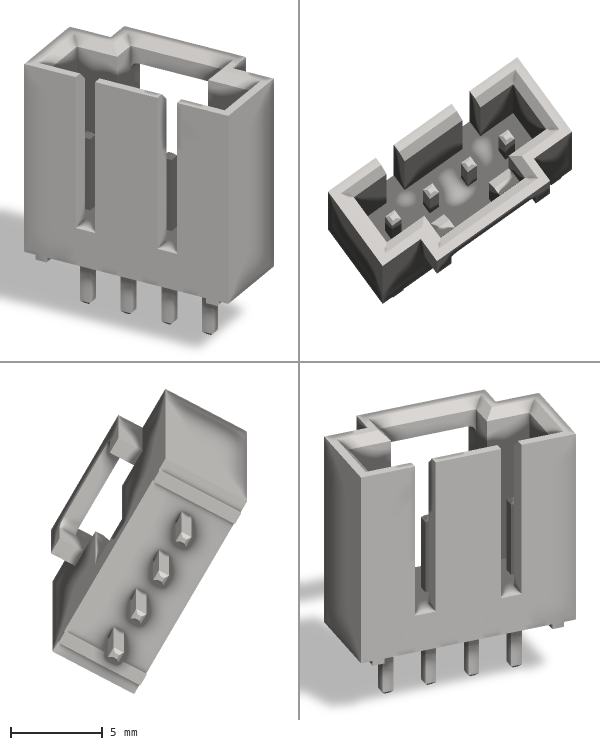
import cadquery as cq

body_width = 12.71
body_depth = 5.09
total_depth = 6.6
total_height = 15.1
tail_length = 3.6
body_height = total_height - tail_length
bump_width = 7.6
bump_height = 3.8
bump_inner_width = 5.66
wall = 1.01
rim_chamfer = 0.51
cavity_depth = 9.24

slot_width = 1.21
slot_spacing = 5.09
key_notch_width = 3.0
window_drop = 1.48
window_radius = 0.5

foot_width = 0.7
foot_height = 0.3
foot_inset = 0.7

pin_count = 4
pin_pitch = 2.54
pin_width = 0.63
pin_taper = 0.18
pin_rise = 4.53

floor_z = body_height - cavity_depth
bump_bottom_z = body_height - bump_height
front_y = -body_depth / 2
back_y = body_depth / 2
bump_back_y = front_y + total_depth


def block(width, y_min, y_max, z_min, z_max, x_center=0):
    """Box centred on x_center, spanning the given Y and Z ranges."""
    return (
        cq.Workplane("XY")
        .box(width, y_max - y_min, z_max - z_min, centered=(True, False, False))
        .translate((x_center, y_min, z_min))
    )


def flared_block(width, y_min, y_max, z_min, z_max):
    """Block whose topmost part opens outward at 45 degrees on all four sides."""
    flare_z = z_max - rim_chamfer
    flare = (
        cq.Workplane("XY", origin=(0, (y_min + y_max) / 2, flare_z))
        .rect(width, y_max - y_min)
        .workplane(offset=rim_chamfer)
        .rect(width + 2 * rim_chamfer, y_max - y_min + 2 * rim_chamfer)
        .loft(ruled=True)
    )
    return block(width, y_min, y_max, z_min, flare_z).union(flare)


def make_shell():
    """Shroud and latch bump, hollowed out with a flared mouth."""
    body = block(body_width, front_y, back_y, 0, body_height)
    bump = block(bump_width, 0, bump_back_y, bump_bottom_z, body_height)
    cavity_width = body_width - 2 * wall
    main_cavity = flared_block(cavity_width, front_y + wall, back_y - wall, floor_z, body_height)
    bump_cavity = flared_block(bump_inner_width, 0, bump_back_y - wall, bump_bottom_z, body_height)
    return body.union(bump).cut(main_cavity).cut(bump_cavity)


def make_latch_window():
    """Opening in the bump's back wall, rounded at the top and open at the bottom."""
    window = block(bump_inner_width, 0, bump_back_y, bump_bottom_z, body_height - window_drop)
    return window.edges("|Y and >Z").fillet(window_radius)


def make_sill_chamfer():
    """45 degree wedge along the inner edge of the back wall below the latch window."""
    inner_y = back_y - wall
    return (
        cq.Workplane("YZ", origin=(-bump_inner_width / 2, 0, 0))
        .moveTo(inner_y, bump_bottom_z - rim_chamfer)
        .lineTo(inner_y + rim_chamfer, bump_bottom_z)
        .lineTo(inner_y, bump_bottom_z)
        .close()
        .extrude(bump_inner_width)
    )


def make_pin(x):
    """Square pin running through the floor, tapered at both ends."""
    half = pin_width / 2
    pin = block(pin_width, -half, half, -tail_length, floor_z + pin_rise, x)
    return pin.faces("<Z or >Z").chamfer(pin_taper)


result = make_shell().cut(make_latch_window()).cut(make_sill_chamfer())

result = result.cut(block(key_notch_width, 0, back_y, floor_z, bump_bottom_z))

for side in (-1, 1):
    slot_x = side * slot_spacing / 2
    result = result.cut(block(slot_width, front_y, 0, floor_z, body_height, slot_x))
    foot_x = side * (body_width / 2 - foot_inset - foot_width / 2)
    result = result.union(block(foot_width, front_y, back_y, -foot_height, 0, foot_x))

for index in range(pin_count):
    pin_x = (index - (pin_count - 1) / 2) * pin_pitch
    result = result.union(make_pin(pin_x))